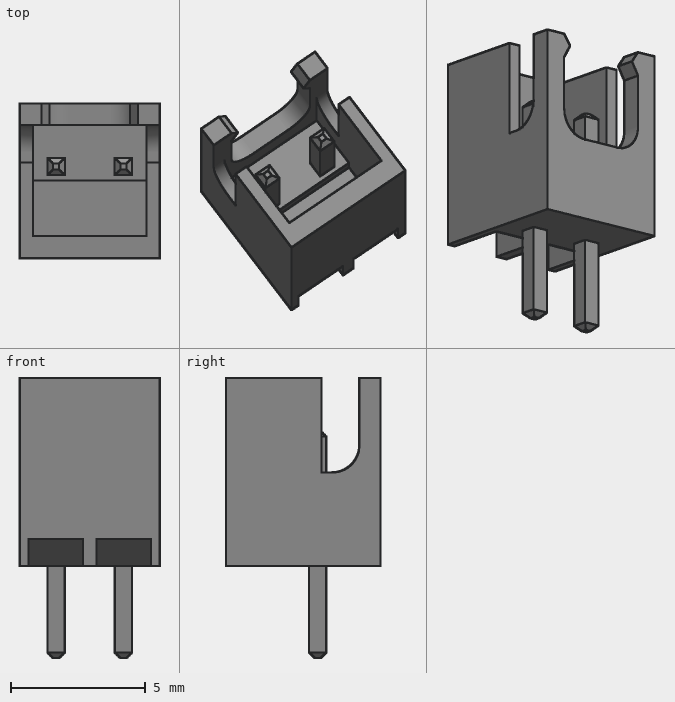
import cadquery as cq

total_height = 10.4
width = 5.2
depth = 5.75
body_height = 6.99
pin_tail = total_height - body_height

side_wall = 0.5
front_wall = 0.83
back_wall = 0.8
rear_floor = 2.0
front_floor = 1.5
cavity_width = width - 2 * side_wall
cavity_depth = depth - front_wall - back_wall
cavity_back = depth - back_wall

corner_radius = 1.0
slot_width = 1.39
slot_sill = 3.48
post_width = 0.81
window_sill = 3.08

hook_reach = 0.29
hook_lead = 0.42
hook_return = 0.5

pin_size = 0.65
pin_pitch = 2.5
pin_y = 3.41
pin_top = 5.01
pin_bevel = 0.21

relief_height = 1.01
relief_depth = 2.39
relief_edge = 0.33
relief_rib = 0.49
relief_width = (width - relief_rib) / 2 - relief_edge


def block(length, span, height, x, y, z):
    """Box centred in X on x, starting at y and z."""
    return cq.Workplane("XY").box(length, span, height, centered=(True, False, False)).translate((x, y, z))


def make_shell():
    shell = block(width, depth, body_height, 0, 0, 0)
    rear_half = block(cavity_width, cavity_depth, body_height, 0, front_wall, rear_floor)
    front_half = block(cavity_width, cavity_depth / 2, body_height, 0, front_wall, front_floor)
    return shell.cut(rear_half).cut(front_half)


def make_side_slot():
    """Slot through both side walls, rounded at its lower rear corner."""
    return (
        cq.Workplane("YZ")
        .moveTo(cavity_back - slot_width, body_height)
        .lineTo(cavity_back - slot_width, slot_sill)
        .lineTo(cavity_back - corner_radius, slot_sill)
        .radiusArc((cavity_back, slot_sill + corner_radius), -corner_radius)
        .lineTo(cavity_back, body_height)
        .close()
        .extrude(width / 2, both=True)
    )


def make_rear_window():
    """Opening in the back wall with both lower corners rounded."""
    window_width = width - 2 * post_width
    window_height = body_height - window_sill
    return (
        block(window_width, back_wall, window_height, 0, cavity_back, window_sill)
        .edges("|Y and <Z")
        .fillet(corner_radius)
    )


def make_hook(side):
    """Triangular barb on the inner face of a latch post; side is -1 or 1."""
    root = width / 2 - post_width
    barb = [
        (side * root, body_height),
        (side * (root - hook_reach), body_height - hook_lead),
        (side * root, body_height - hook_lead - hook_return),
    ]
    return cq.Workplane("XZ", origin=(0, depth, 0)).polyline(barb).close().extrude(back_wall)


def make_pin(side):
    """Square pin with bevelled ends."""
    pin = block(pin_size, pin_size, pin_top + pin_tail, side * pin_pitch / 2, pin_y - pin_size / 2, -pin_tail)
    return pin.faces("<Z or >Z").chamfer(pin_bevel)


def make_relief(side):
    """Wedge open to the front and bottom of the housing."""
    middle = side * (relief_rib + relief_width) / 2
    return (
        cq.Workplane("YZ", origin=(middle, 0, 0))
        .polyline([(0, 0), (relief_depth, 0), (0, relief_height)])
        .close()
        .extrude(relief_width / 2, both=True)
    )


result = make_shell().cut(make_side_slot()).cut(make_rear_window())
for side in (-1, 1):
    result = result.cut(make_relief(side)).union(make_hook(side)).union(make_pin(side))